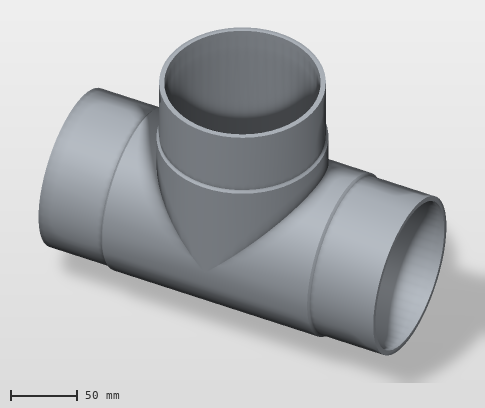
import cadquery as cq

run_length = 279.0
branch_reach = 139.0
bore_diameter = 117.2
spigot_diameter = 125.0
body_diameter = 129.0
spigot_length = 52.2
chamfer = (body_diameter - spigot_diameter) / 2

run_reach = run_length / 2
run_body_reach = run_reach - spigot_length
branch_body_reach = branch_reach - spigot_length


def cylinder(plane, diameter, start, end):
    """Cylinder along the plane normal, between two distances from the tee centre."""
    return cq.Workplane(plane).workplane(offset=start).circle(diameter / 2).extrude(end - start)


run_body = cylinder("YZ", body_diameter, -run_body_reach, run_body_reach)
run_body = run_body.faces("<X or >X").chamfer(chamfer)
run = run_body.union(cylinder("YZ", spigot_diameter, -run_reach, run_reach))

branch_body = cylinder("XY", body_diameter, 0, branch_body_reach).faces(">Z").chamfer(chamfer)
branch = branch_body.union(cylinder("XY", spigot_diameter, 0, branch_reach))

run_bore = cylinder("YZ", bore_diameter, -run_reach, run_reach)
branch_bore = cylinder("XY", bore_diameter, 0, branch_reach)

result = run.union(branch).cut(run_bore).cut(branch_bore)